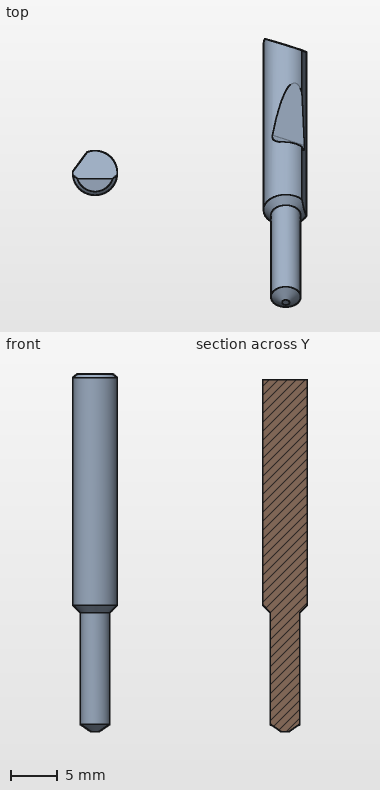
import cadquery as cq
import math

total_length = 38.1
shank_diameter = 4.7625
shank_radius = shank_diameter / 2
pin_diameter = 3.175
pin_radius = pin_diameter / 2

pin_length = 12.7
tip_height = 0.8
tip_flat_radius = 0.4

shoulder_height = shank_radius - pin_radius
top_chamfer = 0.4

bevel_top_y = -0.6
bevel_run = shank_radius - bevel_top_y

flat_distance = 2.0
flat_direction = 143.5

notch_bottom_z = 21.15
notch_top_z = 30.0
notch_radius = 1.27

clearance = 1.0


def make_pin():
    """Pin with a conical tip, revolved about Z from a profile on the -Y side."""
    return (
        cq.Workplane("YZ")
        .moveTo(0, 0)
        .lineTo(-tip_flat_radius, 0)
        .lineTo(-pin_radius, tip_height)
        .lineTo(-pin_radius, pin_length)
        .lineTo(0, pin_length)
        .close()
        .revolve(360, (0, 0, 0), (0, 1, 0))
    )


def make_shank():
    """Shank with a tapered shoulder and chamfered top, revolved from the -X side."""
    return (
        cq.Workplane("XZ")
        .moveTo(0, pin_length)
        .lineTo(-pin_radius, pin_length)
        .lineTo(-shank_radius, pin_length + shoulder_height)
        .lineTo(-shank_radius, total_length - top_chamfer)
        .lineTo(-(shank_radius - top_chamfer), total_length)
        .lineTo(0, total_length)
        .close()
        .revolve(360, (0, 0, 0), (0, 1, 0))
    )


def make_top_bevel():
    """Wedge removed above the 45 degree bevel."""
    reach = bevel_run + clearance
    return (
        cq.Workplane("YZ")
        .moveTo(bevel_top_y - clearance, total_length + clearance)
        .lineTo(bevel_top_y + reach, total_length - reach)
        .lineTo(bevel_top_y + reach, total_length + clearance)
        .close()
        .extrude(shank_radius + clearance, both=True)
    )


def make_side_flat():
    """Block removed outside the lengthwise flat, along the whole shank."""
    return (
        cq.Workplane("XY", origin=(0, 0, pin_length))
        .transformed(rotate=(0, 0, flat_direction))
        .moveTo(flat_distance + clearance / 2, 0)
        .rect(clearance, shank_diameter)
        .extrude(total_length - pin_length)
    )


def make_notch():
    """Ramped notch: a slope tangent to an arc centred on the +Y outline of the shank."""
    centre_y = shank_radius
    centre_z = notch_bottom_z + notch_radius
    slope = math.asin(notch_radius / (notch_top_z - centre_z))
    tangent_y = centre_y - notch_radius * math.cos(slope)
    tangent_z = centre_z + notch_radius * math.sin(slope)
    middle = (slope - math.pi / 2) / 2
    middle_y = centre_y - notch_radius * math.cos(middle)
    middle_z = centre_z + notch_radius * math.sin(middle)
    return (
        cq.Workplane("YZ")
        .moveTo(centre_y, notch_top_z)
        .lineTo(tangent_y, tangent_z)
        .threePointArc((middle_y, middle_z), (centre_y, notch_bottom_z))
        .lineTo(centre_y + clearance, notch_bottom_z)
        .lineTo(centre_y + clearance, notch_top_z)
        .close()
        .extrude(shank_radius + clearance, both=True)
    )


shank = make_shank().cut(make_top_bevel()).cut(make_side_flat()).cut(make_notch())
result = shank.union(make_pin())